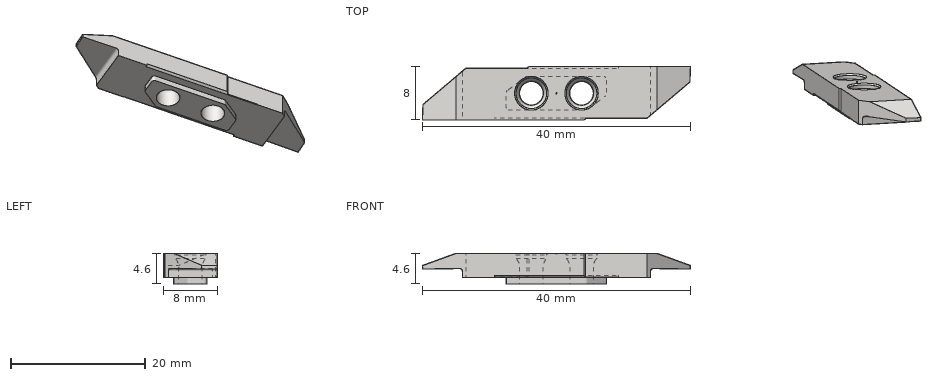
import cadquery as cq
import math

length = 40.0
width = 8.0
half_length = length / 2
half_width = width / 2
body_depth = 3.65
side_relief = 0.25
relief_start = 4.1
flank_start = 13.5
tip_width = 2.3
tip_skew = 0.1

taper_start = 15.0
taper_angle = 20.0
tip_bottom = 2.35
root_bottom = 2.3
shoulder = 14.05
shoulder_radius = 0.4

edge_chamfer = 0.3
edge_chamfer_length = 18.5

boss_length = 15.0
boss_width = 5.0
boss_height = 0.95
boss_flat_end = 4.5
boss_end_flat = 0.3
boss_radius = 0.5

hole_spacing = 7.5
hole_radius = 1.75
seat_radius = 2.3
mouth_radius = 2.5
seat_top = 0.75
seat_bottom = 2.05

mark_diameter = 0.15
mark_depth = 0.1

clearance = 0.4


def with_half_turn(points):
    """Close an outline by adding its copy turned 180 degrees about the origin."""
    return points + [(-x, -y) for x, y in points]


def both_ends(shape):
    return shape.union(shape.rotate((0, 0, 0), (0, 0, 1), 180))


def make_body():
    relieved_side = half_width - side_relief
    outline = with_half_turn([
        (-half_length, -half_width),
        (relief_start, -half_width),
        (relief_start + side_relief, -relieved_side),
        (flank_start, -relieved_side),
        (half_length - tip_skew, half_width - tip_width),
    ])
    return cq.Workplane("XY").polyline(outline).close().extrude(-body_depth)


def make_taper_cut():
    outer = half_length + clearance
    drop = (outer - taper_start) * math.tan(math.radians(taper_angle))
    return (
        cq.Workplane("XZ")
        .polyline([(taper_start, 0), (outer, -drop), (outer, clearance), (taper_start, clearance)])
        .close()
        .extrude(half_width + clearance, both=True)
    )


def make_underside_cut():
    outer = half_length + clearance
    floor = -body_depth - clearance
    return (
        cq.Workplane("XZ")
        .polyline([(shoulder, floor), (shoulder, -root_bottom), (half_length, -tip_bottom),
                   (outer, -tip_bottom), (outer, floor)])
        .close()
        .extrude(half_width + clearance, both=True)
        .edges(cq.selectors.NearestToPointSelector((shoulder, 0, -root_bottom)))
        .fillet(shoulder_radius)
    )


def make_edge_chamfer_cut():
    return (
        cq.Workplane("YZ")
        .polyline([(half_width - edge_chamfer, -body_depth), (half_width, -body_depth),
                   (half_width, -body_depth + edge_chamfer)])
        .close()
        .extrude(edge_chamfer_length / 2, both=True)
    )


def make_boss():
    end = boss_length / 2
    side = boss_width / 2
    outline = with_half_turn([(-end, -side), (boss_flat_end, -side), (end, -boss_end_flat)])
    return (
        cq.Workplane("XY", origin=(0, 0, -body_depth))
        .polyline(outline)
        .close()
        .extrude(-boss_height)
        .edges("|Z")
        .fillet(boss_radius)
    )


def make_hole_cut():
    lead_in = mouth_radius - seat_radius
    seat_depth = seat_bottom - seat_top
    seat_step = seat_radius - hole_radius
    arc_radius = (seat_depth**2 + seat_step**2) / (2 * seat_step)
    arc_angle = math.asin(seat_depth / arc_radius) / 2
    arc_middle = (hole_radius + arc_radius * (1 - math.cos(arc_angle)),
                  -seat_bottom + arc_radius * math.sin(arc_angle))
    floor = -body_depth - boss_height - clearance
    return (
        cq.Workplane("XZ")
        .moveTo(0, 0)
        .lineTo(mouth_radius, 0)
        .lineTo(seat_radius, -lead_in)
        .lineTo(seat_radius, -seat_top)
        .threePointArc(arc_middle, (hole_radius, -seat_bottom))
        .lineTo(hole_radius, floor)
        .lineTo(0, floor)
        .close()
        .revolve(360, (0, 0, 0), (0, 1, 0))
        .translate((hole_spacing / 2, 0, 0))
    )


body = make_body()
for cut in (make_taper_cut(), make_underside_cut(), make_edge_chamfer_cut()):
    body = body.cut(both_ends(cut))

part = body.union(make_boss()).cut(both_ends(make_hole_cut()))
mark = cq.Workplane("XY").circle(mark_diameter / 2).extrude(-mark_depth)
result = part.cut(mark)